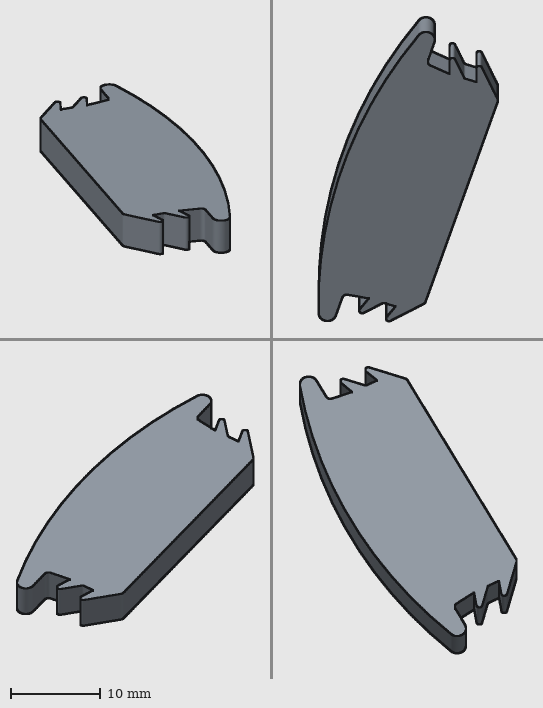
import math

import cadquery as cq

WIDTH = 37.29
HEIGHT = 14.0
LENGTH = 4.0

LIP_RADIUS = 1.0
LIP_UNDERSIDE_Y = 9.0

WALL_X = 14.5
UPPER_WALL_LEAN = 8.0
LIP_ROOT_RADIUS = 0.5
FIN_ROOT_RADIUS = 0.3

FIN_REACH_X = 16.5
FIN_TIP_RADIUS = 0.33
LOWER_FIN_TOP_Y = 3.58
FIN_PITCH = 3.15
FIN_TOP_SLOPE = 19.0
FIN_UNDERSIDE_SLOPE = 42.5
FOOT_CORNER_RADIUS = 0.5

lip_x = WIDTH / 2 - LIP_RADIUS
lip_y = LIP_UNDERSIDE_Y + LIP_RADIUS
crown_drop = HEIGHT - lip_y
crown_radius = (lip_x**2 + crown_drop**2 - LIP_RADIUS**2) / (2 * (crown_drop - LIP_RADIUS))
crown_center_y = HEIGHT - crown_radius
fin_tip_x = FIN_REACH_X - FIN_TIP_RADIUS
lower_tip_y = LOWER_FIN_TOP_Y - FIN_TIP_RADIUS
upper_tip_y = lower_tip_y + FIN_PITCH


def on_circle(center, radius, angle):
    """Point on a circle at an angle in degrees, counted from +X."""
    turn = math.radians(angle)
    return (center[0] + radius * math.cos(turn), center[1] + radius * math.sin(turn))


def rise(run, slope):
    """Height gained over a horizontal run at a slope in degrees."""
    return run * math.tan(math.radians(slope))


def crown():
    """Crown and lips, closed along the flat underside of the lips."""
    lip_center = (lip_x, lip_y)
    crown_end_angle = math.degrees(math.atan2(lip_y - crown_center_y, lip_x))
    crown_end = on_circle(lip_center, LIP_RADIUS, crown_end_angle)
    lip_middle = on_circle(lip_center, LIP_RADIUS, (crown_end_angle - 90) / 2)
    opposite_middle = (-lip_middle[0], lip_middle[1])
    return (
        cq.Workplane("XY")
        .moveTo(-lip_x, LIP_UNDERSIDE_Y)
        .lineTo(lip_x, LIP_UNDERSIDE_Y)
        .threePointArc(lip_middle, crown_end)
        .threePointArc((0, HEIGHT), (-crown_end[0], crown_end[1]))
        .threePointArc(opposite_middle, (-lip_x, LIP_UNDERSIDE_Y))
        .close()
        .extrude(LENGTH)
    )


def fin_points(tip_y):
    """Underside tangent point, outermost point and top tangent point of a right-hand fin tip."""
    tip_center = (fin_tip_x, tip_y)
    underside = on_circle(tip_center, FIN_TIP_RADIUS, FIN_UNDERSIDE_SLOPE - 90)
    outermost = on_circle(tip_center, FIN_TIP_RADIUS, 0)
    top = on_circle(tip_center, FIN_TIP_RADIUS, 90 + FIN_TOP_SLOPE)
    return underside, outermost, top


def root_y(tangent_point, slope):
    """Height where a fin flank, carried inward and down from its tip, meets the vertical wall."""
    return tangent_point[1] - rise(tangent_point[0] - WALL_X, slope)


def half_body():
    """Right half of the body below the lip, and the (x, y, radius) of each corner still to be rounded."""
    lower_fin = fin_points(lower_tip_y)
    upper_fin = fin_points(upper_tip_y)

    underside, outermost, top = lower_fin
    foot_x = underside[0] - underside[1] / math.tan(math.radians(FIN_UNDERSIDE_SLOPE))
    outline = cq.Workplane("XY").lineTo(foot_x, 0)
    outline = outline.lineTo(*underside).threePointArc(outermost, top)
    outline = outline.lineTo(WALL_X, root_y(top, FIN_TOP_SLOPE))
    underside, outermost, top = upper_fin
    upper_root_y = root_y(underside, FIN_UNDERSIDE_SLOPE)
    outline = outline.lineTo(WALL_X, upper_root_y)

    outline = outline.lineTo(*underside).threePointArc(outermost, top)
    notch_y = root_y(top, FIN_TOP_SLOPE)
    wall_top_x = WALL_X + rise(LIP_UNDERSIDE_Y - notch_y, UPPER_WALL_LEAN)
    outline = outline.lineTo(WALL_X, notch_y).lineTo(wall_top_x, LIP_UNDERSIDE_Y)
    outline = outline.lineTo(0, LIP_UNDERSIDE_Y).close()

    corners = [
        (foot_x, 0, FOOT_CORNER_RADIUS),
        (WALL_X, upper_root_y, FIN_ROOT_RADIUS),
        (wall_top_x, LIP_UNDERSIDE_Y, LIP_ROOT_RADIUS),
    ]
    return outline.extrude(LENGTH), corners


def round_corners(solid, corners):
    """Round the lengthwise edges at the given section corners on both sides."""
    for x, y, radius in corners:
        for side in (-1, 1):
            edge = cq.selectors.NearestToPointSelector((side * x, y, LENGTH / 2))
            solid = solid.edges("|Z").edges(edge).fillet(radius)
    return solid


right_half, section_corners = half_body()
section = crown().union(right_half).union(right_half.mirror("YZ")).clean()
result = round_corners(section, section_corners)